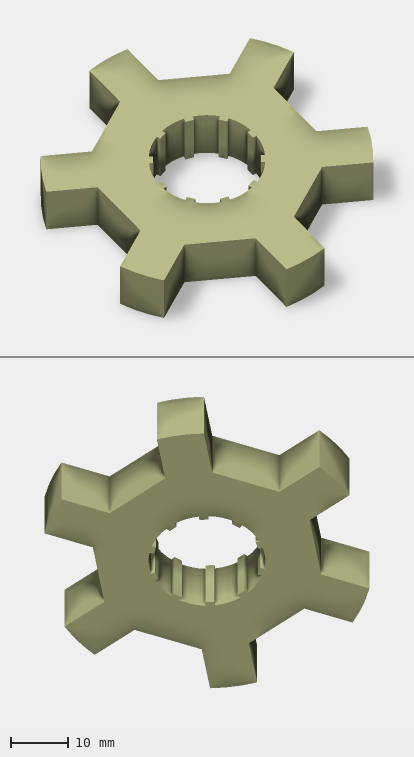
import cadquery as cq
import math

thickness = 10.0
outer_radius = 29.07
arm_count = 6
arm_width = 8.34
hub_across_flats = 38.4
bore_radius = 10.2
key_count = 10
key_width = 1.6
key_height = 0.8
first_key_angle = 90.0


def make_hub():
    """Hexagonal hub with one corner under each arm."""
    across_corners = hub_across_flats / math.cos(math.pi / arm_count)
    return cq.Workplane("XY").polygon(arm_count, across_corners).extrude(thickness)


def make_arms():
    """Straight-sided radial arms, trimmed to the outer cylinder."""
    arms = cq.Workplane("XY")
    for index in range(arm_count):
        arm = (
            cq.Workplane("XY")
            .rect(outer_radius, arm_width)
            .extrude(thickness)
            .translate((outer_radius / 2, 0, 0))
            .rotate((0, 0, 0), (0, 0, 1), index * 360 / arm_count)
        )
        arms = arms.add(arm)
    envelope = cq.Workplane("XY").circle(outer_radius).extrude(thickness)
    return arms.combine().intersect(envelope)


def make_bore():
    """Round bore, less the rectangular keys that project into it."""
    bore = cq.Workplane("XY").circle(bore_radius).extrude(thickness)
    key_tip_radius = bore_radius - key_height
    key_length = 2 * key_height
    for index in range(key_count):
        key = (
            cq.Workplane("XY")
            .rect(key_length, key_width)
            .extrude(thickness)
            .translate((key_tip_radius + key_length / 2, 0, 0))
            .rotate((0, 0, 0), (0, 0, 1), first_key_angle + index * 360 / key_count)
        )
        bore = bore.cut(key)
    return bore


result = make_hub().union(make_arms()).cut(make_bore())